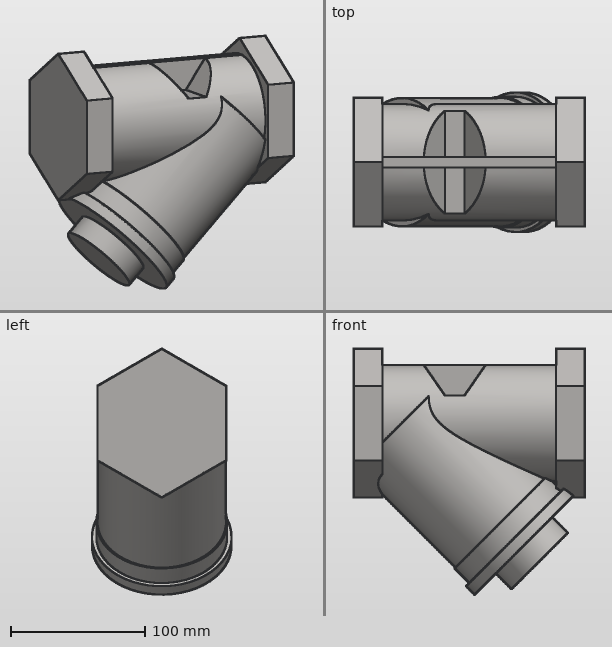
import cadquery as cq
import math

overall_length = 172.0
nut_across_flats = 96.0
nut_thickness = 21.5
pipe_radius = 43.4

branch_start_x = -50.2
branch_angle = 45
branch_radius = 47.8
collar_radius = 48.7
flange_radius = 52.0
plug_radius = 29.7
branch_end = 104.2
collar_end = 119.6
flange_end = 128.5
plug_end = 145.0

notch_center_x = -10.8
notch_floor_z = 20.5
notch_floor_width = 14.5
notch_top_width = 46.2
rib_width = 8.0

nut_corner_diameter = nut_across_flats / math.cos(math.radians(30))
pipe_length = overall_length - 2 * nut_thickness


def make_pipe():
    return cq.Workplane("YZ").circle(pipe_radius).extrude(pipe_length / 2, both=True)


def make_nut(start_x):
    """Solid hexagonal end with corners pointing up and down."""
    return (
        cq.Workplane("YZ", origin=(start_x, 0, 0))
        .transformed(rotate=(0, 0, 90))
        .polygon(6, nut_corner_diameter)
        .extrude(nut_thickness)
    )


def make_branch():
    """Revolved branch with collar, flange and end plug."""
    angle = math.radians(branch_angle)
    axis = (math.cos(angle), 0, -math.sin(angle))
    plane = cq.Plane(origin=(branch_start_x, 0, 0), xDir=(0, 1, 0), normal=axis)
    steps = [
        (branch_radius, 0, branch_end),
        (collar_radius, branch_end, collar_end),
        (flange_radius, collar_end, flange_end),
        (plug_radius, flange_end, plug_end),
    ]
    branch = cq.Workplane(plane)
    for radius, start, end in steps:
        step = cq.Workplane(plane).workplane(offset=start).circle(radius).extrude(end - start)
        branch = branch.add(step)
    return branch.combine()


def make_notch():
    """Trapezoidal cutter spanning the full width of the pipe."""
    return (
        cq.Workplane("XZ")
        .polyline([
            (notch_center_x - notch_floor_width / 2, notch_floor_z),
            (notch_center_x + notch_floor_width / 2, notch_floor_z),
            (notch_center_x + notch_top_width / 2, pipe_radius),
            (notch_center_x - notch_top_width / 2, pipe_radius),
        ])
        .close()
        .extrude(pipe_radius, both=True)
    )


def make_rib():
    """Flat-topped rib running between the nuts, level with the top of the pipe."""
    return cq.Workplane("XY").box(
        pipe_length, rib_width, pipe_radius, centered=(True, True, False)
    )


result = make_pipe().union(make_branch()).cut(make_notch()).union(make_rib())
for nut_start_x in (-overall_length / 2, overall_length / 2 - nut_thickness):
    result = result.union(make_nut(nut_start_x))